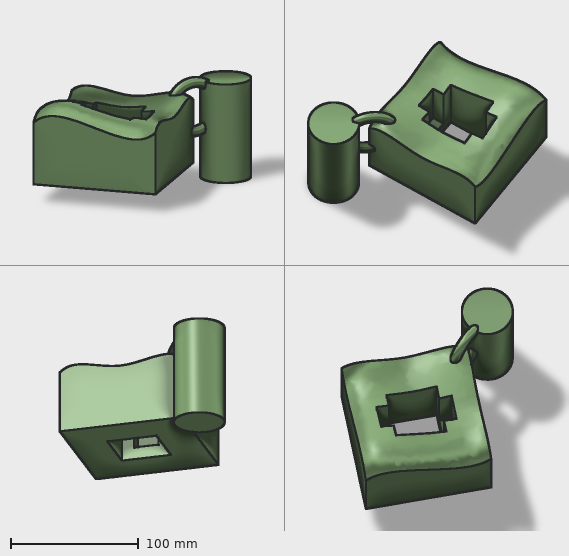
import cadquery as cq
import math

block_size = 100.0
corner_height = 50.0
edge_slope_angle = 45.0

window_size = 40.0
keyway_length = 60.0
keyway_width = 20.0
keyway_floor = 10.0

post_radius = 20.0
post_center = 70.0
post_bottom = -15.0
post_height = 80.0

ring_radius = 20.0
ring_wire_radius = 4.0
ring_height = 45.0

grid_overrun = 1.05
grid_intervals = 30
surface_tolerance = 0.001
prism_depth = 2 * block_size

half_size = block_size / 2
overall_height = corner_height + half_size

end_run = half_size * math.cos(math.radians(edge_slope_angle))
end_rise = half_size * math.sin(math.radians(edge_slope_angle))


def position(s):
    """Distance along a block side from its middle; the speed at both ends is end_run."""
    cubic_term = (end_run - half_size) / 2
    return (half_size - cubic_term) * s + cubic_term * s**3


def s_wave(s):
    """Height above the corners of the -X and -Y edges: one crest, then one trough."""
    return end_rise / 2 * (s**3 - s)


def double_crest(s):
    """Height above the corners of the +X and +Y edges: two equal crests, level in the middle."""
    return end_rise * s**2 * (1 - abs(s))


def blended_height(s, own_position):
    """Blend of the two opposite edges, weighted by the position across the block."""
    far_weight = 0.5 + own_position / block_size
    return (1 - far_weight) * s_wave(s) + far_weight * double_crest(s)


def surface_point(s, t):
    """Point of the Coons patch spanned by the four top edges."""
    x = position(s)
    y = position(t)
    return cq.Vector(x, y, corner_height + blended_height(s, y) + blended_height(t, x))


def wavy_block():
    steps = [grid_overrun * (2 * i / grid_intervals - 1) for i in range(grid_intervals + 1)]
    grid = [[surface_point(s, t) for t in steps] for s in steps]
    top = cq.Face.makeSplineApprox(grid, tol=surface_tolerance)
    below_top = cq.Solid.extrudeLinear(top, cq.Vector(0, 0, -prism_depth))
    envelope = cq.Workplane("XY").rect(block_size, block_size).extrude(overall_height)
    return envelope.intersect(cq.Workplane(obj=below_top))


def window_cutter():
    window = cq.Workplane("XY").rect(window_size, window_size).extrude(overall_height)
    keyway = (
        cq.Workplane("XY", origin=(0, 0, keyway_floor))
        .rect(keyway_length, keyway_width)
        .extrude(overall_height)
    )
    return window.union(keyway)


def post():
    return (
        cq.Workplane("XY", origin=(post_center, post_center, post_bottom))
        .circle(post_radius)
        .extrude(post_height)
    )


def ring():
    center = cq.Vector(half_size, half_size, ring_height)
    torus = cq.Solid.makeTorus(ring_radius, ring_wire_radius, center, cq.Vector(1, -1, 0))
    return cq.Workplane(obj=torus)


result = wavy_block().cut(window_cutter()).union(post()).union(ring())